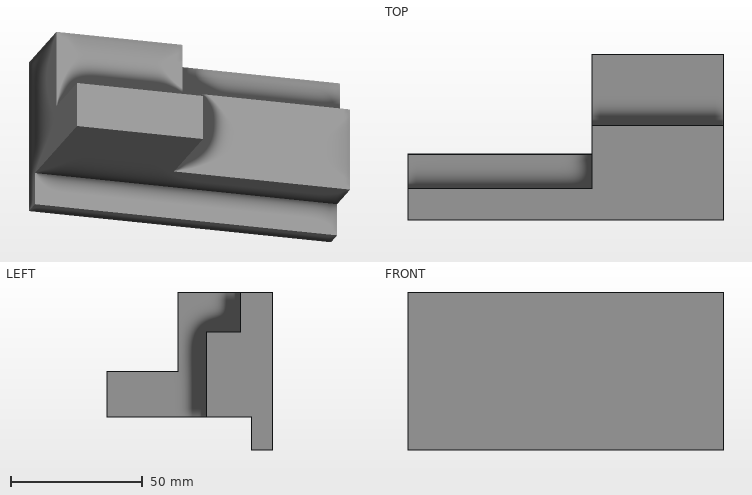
import cadquery as cq

length = 120.0
depth = 63.0
height = 60.0

lip_depth = 8.0
lip_height = 12.6

left_length = 70.0
left_wall_depth = 12.1
left_shelf_depth = 25.1
left_shelf_top = 45.0

right_length = length - left_length
right_wall_depth = 36.0
right_shelf_top = height / 2


def stepped_stretch(start_x, stretch_length, wall_depth, shelf_depth, shelf_top):
    """Extrude a lip, shelf and wall section along X, with its front face at Y = 0."""
    section = [
        (0, 0),
        (lip_depth, 0),
        (lip_depth, lip_height),
        (shelf_depth, lip_height),
        (shelf_depth, shelf_top),
        (wall_depth, shelf_top),
        (wall_depth, height),
        (0, height),
    ]
    return (
        cq.Workplane("YZ", origin=(start_x, 0, 0))
        .polyline(section)
        .close()
        .extrude(stretch_length)
    )


left = stepped_stretch(0, left_length, left_wall_depth, left_shelf_depth, left_shelf_top)
right = stepped_stretch(left_length, right_length, right_wall_depth, depth, right_shelf_top)

result = left.union(right).clean()